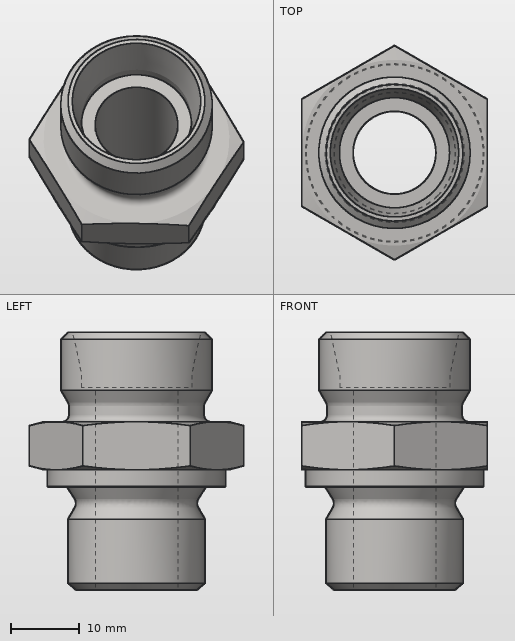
import cadquery as cq
import math

total_length = 37.5
hex_across_flats = 27.0
hex_bottom = 17.5
hex_top = 24.5
hex_chamfer_angle = 15.0

collar_radius = 26.0 / 2
collar_bottom = 15.0
collar_chamfer = 0.15

lower_radius = 20.0 / 2
lower_tip_radius = 8.78
lower_tip_length = 1.05
lower_thread_top = 10.3
undercut_mouth_radius = 10.12
undercut_root_radius = 8.62
undercut_root_height = 12.68
undercut_fillet = 1.2

upper_radius = 22.0 / 2
upper_tip_radius = 9.95
upper_tip_length = 1.05
upper_thread_bottom = 29.05
runout_angle = 30.0
neck_radius = 19.7 / 2
neck_fillet = 1.0

through_radius = 12.0 / 2
socket_radius = 16.0 / 2
socket_depth = 8.0
mouth_radius = 9.35
cone_half_angle = 12.0

hex_corner_radius = hex_across_flats / math.sqrt(3)
neck_top = upper_thread_bottom - (upper_radius - neck_radius) / math.tan(math.radians(runout_angle))
cone_depth = (mouth_radius - socket_radius) / math.tan(math.radians(cone_half_angle))


def revolve_profile(points):
    """Revolve a closed (radius, height) outline about the Z axis."""
    return cq.Workplane("XZ").polyline(points).close().revolve(360, (0, 0, 0), (0, 1, 0))


def circle_edge(radius, height):
    """Select the circular edge of the given radius and height."""
    radial_reach = radius + 0.05
    height_reach = 0.05
    return cq.selectors.BoxSelector(
        (-radial_reach, -radial_reach, height - height_reach),
        (radial_reach, radial_reach, height + height_reach),
        boundingbox=True,
    )


def make_hexagon():
    """Hexagon with flats facing -X and +X, its corners chamfered at both ends."""
    flat_radius = hex_across_flats / 2
    drop = (hex_corner_radius - flat_radius) * math.tan(math.radians(hex_chamfer_angle))
    prism = (
        cq.Workplane("XY")
        .workplane(offset=hex_bottom)
        .polygon(6, 2 * hex_corner_radius)
        .extrude(hex_top - hex_bottom)
        .rotate((0, 0, 0), (0, 0, 1), 30)
    )
    chamfer_envelope = revolve_profile([
        (0, hex_bottom),
        (flat_radius, hex_bottom),
        (hex_corner_radius, hex_bottom + drop),
        (hex_corner_radius, hex_top - drop),
        (flat_radius, hex_top),
        (0, hex_top),
    ])
    return prism.intersect(chamfer_envelope)


def make_lower_end():
    """Lower thread cylinder, rounded V undercut and sealing collar."""
    blank = revolve_profile([
        (0, 0),
        (lower_tip_radius, 0),
        (lower_radius, lower_tip_length),
        (lower_radius, lower_thread_top),
        (undercut_root_radius, undercut_root_height),
        (undercut_mouth_radius, collar_bottom),
        (collar_radius - collar_chamfer, collar_bottom),
        (collar_radius, collar_bottom + collar_chamfer),
        (collar_radius, hex_bottom),
        (0, hex_bottom),
    ])
    return blank.edges(circle_edge(undercut_root_radius, undercut_root_height)).fillet(undercut_fillet)


def make_upper_end():
    """Upper thread cylinder tapering down to the neck."""
    blank = revolve_profile([
        (0, hex_top),
        (neck_radius, hex_top),
        (neck_radius, neck_top),
        (upper_radius, upper_thread_bottom),
        (upper_radius, total_length - upper_tip_length),
        (upper_tip_radius, total_length),
        (0, total_length),
    ])
    return blank.edges(circle_edge(neck_radius, neck_top)).fillet(neck_fillet)


def make_bore():
    """Through hole, wider socket and conical mouth at the top."""
    socket_floor = total_length - socket_depth
    return revolve_profile([
        (0, 0),
        (through_radius, 0),
        (through_radius, socket_floor),
        (socket_radius, socket_floor),
        (socket_radius, total_length - cone_depth),
        (mouth_radius, total_length),
        (0, total_length),
    ])


body = make_hexagon().union(make_lower_end()).union(make_upper_end())
body = body.edges(circle_edge(neck_radius, hex_top)).fillet(neck_fillet)
result = body.cut(make_bore())